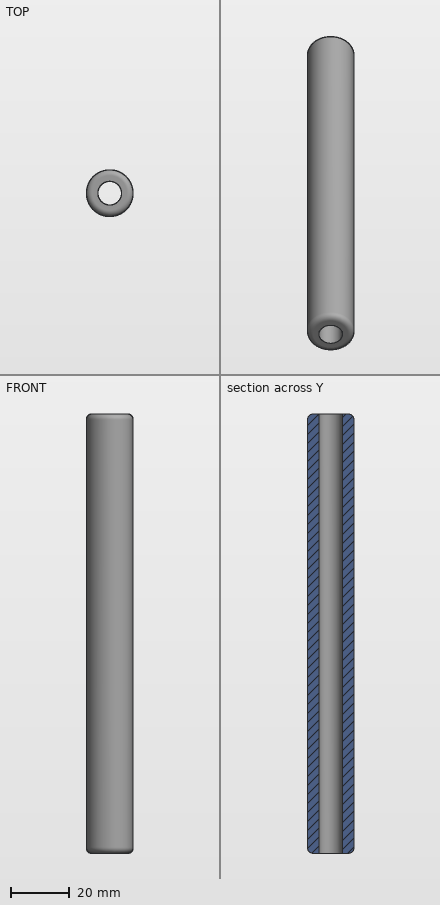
import cadquery as cq

LENGTH = 150.0
OUTER_DIAMETER = 16.0
BORE_DIAMETER = 8.0
END_ROUND_RADIUS = 2.0


def rounded_rod():
    """Upright rod with both outer end edges rounded."""
    rod = cq.Workplane("XY").circle(OUTER_DIAMETER / 2).extrude(LENGTH)
    return rod.faces("<Z or >Z").edges().fillet(END_ROUND_RADIUS)


def bore():
    """Cylinder that opens the rod along its full length."""
    return cq.Workplane("XY").circle(BORE_DIAMETER / 2).extrude(LENGTH)


result = rounded_rod().cut(bore())